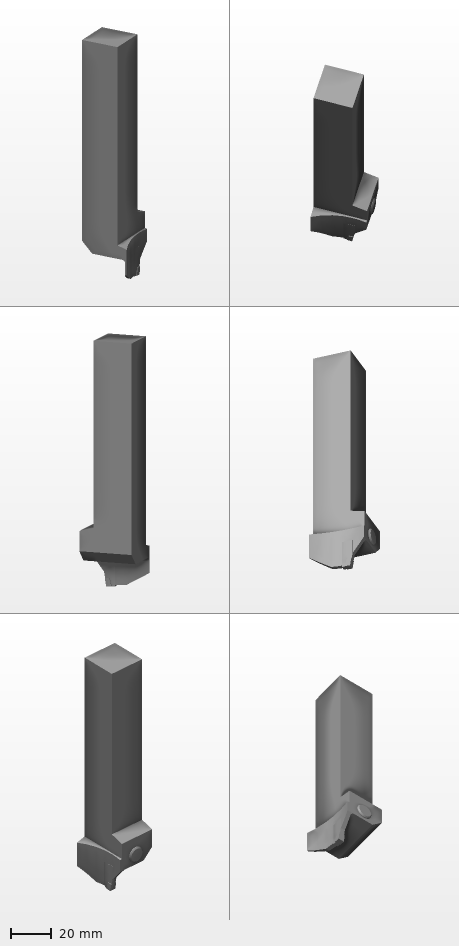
import cadquery as cq
import math

total_height = 126.4
shank_width = 20.0

flank_angle = math.radians(15)
head_depth = 27.4
head_flank_z = 32.6
shoulder_z = 14.8
shoulder_flank_z = 21.9
corner_chamfer = 5.7
max_x = 25.1

blade_mid_y = 20.2
blade_inner_x = 18.2
blade_outer_x = 20.6
blade_end_thickness = 0.9
blade_fillet = 1.6
blade_bottom_z = 1.0
blade_heel_y = 10.4
blade_heel_z = 6.8

insert_back_y = 15.7
insert_front_y = 21.4
insert_front_z = 7.3
insert_bottom_z = 0.3
insert_outer_x = 20.7
tip_y = 20.1
tip_back_y = 17.3
tip_bend_y = 18.3
tip_top_z = 4.2
tip_side_step = 0.4

screw_diameter = 8.5
screw_x = 11.0
screw_z = 20.7
screw_height = 1.0
screw_chamfer = 0.6


def extrude_x(points, start_x, end_x):
    """Prism along X from an outline of (Y, Z) points."""
    return cq.Workplane("YZ").workplane(offset=start_x).polyline(points).close().extrude(end_x - start_x)


def arc_radius(apex_x, end_x):
    """Radius of an arc with its apex at blade_mid_y that meets Y = 0 at end_x."""
    rise = end_x - apex_x
    return (blade_mid_y**2 + rise**2) / (2 * rise)


def arc_cylinder(apex_x, radius):
    """Upright cylinder whose -X extreme lies at apex_x."""
    return (
        cq.Workplane("XY")
        .center(apex_x + radius, blade_mid_y)
        .circle(radius)
        .extrude(head_flank_z)
    )


outer_radius = arc_radius(blade_outer_x, max_x)
inner_radius = arc_radius(blade_inner_x, max_x - blade_end_thickness)

tip_front_y = tip_y + (insert_front_y - tip_y) * tip_top_z / insert_front_z


def make_shank_and_head():
    side_outline = [
        (0, shoulder_z),
        (0, total_height),
        (shank_width, total_height),
        (shank_width, head_flank_z),
        (head_depth, head_flank_z - (head_depth - shank_width) * math.tan(flank_angle)),
        (head_depth, shoulder_z),
    ]
    front_outline = [
        (corner_chamfer, shoulder_z),
        (0, shoulder_z + corner_chamfer),
        (0, total_height),
        (shank_width, total_height),
        (shank_width, shoulder_flank_z),
        (max_x, shoulder_flank_z - (max_x - shank_width) * math.tan(flank_angle)),
        (max_x, shoulder_z),
    ]
    front_prism = cq.Workplane("XZ").polyline(front_outline).close().extrude(-head_depth)
    body = extrude_x(side_outline, 0, max_x).intersect(front_prism)
    return body.cut(arc_cylinder(blade_outer_x, outer_radius))


def make_blade():
    """Curved wall, flared into the shoulder by a fillet along its convex face."""
    wall = arc_cylinder(blade_inner_x, inner_radius)
    flare_start_z = shoulder_z - blade_fillet
    flare = (
        cq.Workplane("XZ", origin=(blade_inner_x + inner_radius, blade_mid_y, 0))
        .moveTo(0, flare_start_z)
        .lineTo(inner_radius, flare_start_z)
        .radiusArc((inner_radius + blade_fillet, shoulder_z), blade_fillet)
        .lineTo(0, shoulder_z)
        .close()
        .revolve(360, (0, 0, 0), (0, 1, 0))
    )
    outline = [
        (0, shoulder_z),
        (0, blade_heel_z),
        (blade_heel_y, blade_bottom_z),
        (insert_back_y, blade_bottom_z),
        (insert_back_y, insert_front_z),
        (insert_front_y, insert_front_z),
        (head_depth, shoulder_z),
    ]
    envelope = extrude_x(outline, 0, max_x)
    return wall.union(flare).intersect(envelope).cut(arc_cylinder(blade_outer_x, outer_radius))


def make_screw_head():
    return (
        cq.Workplane("XZ", origin=(screw_x, head_depth, screw_z))
        .circle(screw_diameter / 2)
        .extrude(-screw_height)
        .faces(">Y")
        .chamfer(screw_chamfer)
    )


def make_insert_seat():
    outline = [
        (insert_back_y, 0),
        (insert_back_y, shoulder_z),
        (insert_front_y, shoulder_z),
        (insert_front_y, 0),
    ]
    return extrude_x(outline, 0, max_x)


def make_holder():
    """Tool holder: shank, head, blade and fixed screw head, with the insert seat cut out."""
    blade = make_blade().cut(make_insert_seat())
    return make_shank_and_head().union(blade).union(make_screw_head())


def make_insert():
    strip_outline = [
        (insert_back_y, insert_bottom_z),
        (insert_back_y, shoulder_z),
        (insert_front_y, shoulder_z),
        (insert_front_y, insert_front_z),
        (tip_y, 0),
    ]
    tip_outline = [
        (tip_y, 0),
        (tip_back_y, insert_bottom_z * (tip_y - tip_back_y) / (tip_y - insert_back_y)),
        (tip_bend_y, tip_top_z),
        (tip_front_y, tip_top_z),
    ]
    strip = extrude_x(strip_outline, blade_inner_x, insert_outer_x)
    tip = extrude_x(tip_outline, blade_inner_x - tip_side_step, insert_outer_x + tip_side_step)
    return strip.union(tip)


holder = make_holder()
insert = make_insert()

result = cq.Compound.makeCompound([holder.val(), insert.val()])